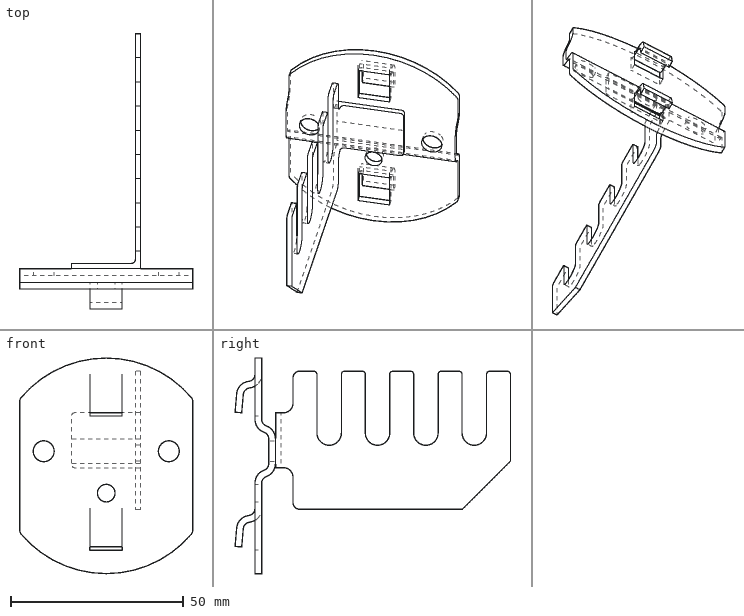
import cadquery as cq
import math

TOTAL_DEPTH = 79.9

PLATE_WIDTH = 50.2
PLATE_HEIGHT = 62.5
PLATE_THICKNESS = 2.0
PLATE_ARC_RADIUS = 32.3
PLATE_CORNER_RADIUS = 2.0
BEND_MID_RADIUS = 1.5 * PLATE_THICKNESS

BAND_CENTER_Z = 4.2
BAND_FLAT_HEIGHT = 7.2
BAND_SETBACK = 4.0
BAND_SLOPE_LENGTH = 0.2

BAND_HOLE_DIAMETER = 6.0
BAND_HOLE_SPACING = 36.3
LOWER_HOLE_DIAMETER = 5.0
LOWER_HOLE_Z = -7.9

FITTING_CENTER_X = -0.1

HOOK_WIDTH = 9.35
HOOK_TOPS_Z = (26.5, -12.4)
WINDOW_HEIGHT = 12.1
HOOK_OUT_ANGLE = 79.0
HOOK_OUT_LENGTH = 0.5
HOOK_LEG_TILT = 5.0
HOOK_LEG_LENGTH = 5.39

COMB_THICKNESS = 1.5
FLANGE_WIDTH = 20.05
FLANGE_HEIGHT = 16.0
FLANGE_CORNER_RADIUS = 1.0
INNER_BEND_RADIUS = 1.2
COMB_CENTER_Z = 7.4
COMB_HEIGHT = 40.1
COMB_START_Y = 11.0
COMB_CHAMFER = 14.0
COMB_CORNER_RADIUS = 2.0
NECK_RADIUS = 2.7
TOOTH_COUNT = 5
TOOTH_CORNER_RADIUS = 1.0
SLOT_DEPTH = 21.5

BAND_BACK_Y = BAND_SETBACK + PLATE_THICKNESS
FLANGE_BACK_Y = BAND_BACK_Y + COMB_THICKNESS
FLANGE_END_X = FITTING_CENTER_X + FLANGE_WIDTH / 2

OUT = math.radians(HOOK_OUT_ANGLE)
TILT = math.radians(HOOK_LEG_TILT)
HOOK_REACH = (
    BEND_MID_RADIUS * (1 + math.cos(TILT) - 2 * math.cos(OUT))
    + HOOK_OUT_LENGTH * math.sin(OUT)
    + HOOK_LEG_LENGTH * math.sin(TILT)
    + PLATE_THICKNESS / 2 * (math.cos(TILT) - 1)
)
COMB_END_Y = TOTAL_DEPTH - HOOK_REACH


def bent_sheet(top_z, steps, width):
    """Sheet that starts downwards in the plate at top_z and follows the steps, centred on X = 0.

    A step is ("straight", length) or ("bend", degrees); a positive bend turns towards +Y.
    """
    y = PLATE_THICKNESS / 2
    z = top_z
    heading = -math.pi / 2

    def side_point(side, center_y, center_z, angle):
        offset = side * PLATE_THICKNESS / 2
        return (center_y - offset * math.sin(angle), center_z + offset * math.cos(angle))

    def both_sides(center_y, center_z, angle):
        return [side_point(side, center_y, center_z, angle) for side in (1, -1)]

    def along_bend(turn):
        radius = math.copysign(BEND_MID_RADIUS, turn)
        return (
            y + radius * (math.sin(heading + turn) - math.sin(heading)),
            z - radius * (math.cos(heading + turn) - math.cos(heading)),
        )

    stations = [both_sides(y, z, heading)]
    middles = []
    for kind, amount in steps:
        if kind == "straight":
            y += amount * math.cos(heading)
            z += amount * math.sin(heading)
            middles.append(None)
        else:
            turn = math.radians(amount)
            middles.append(both_sides(*along_bend(turn / 2), heading + turn / 2))
            y, z = along_bend(turn)
            heading += turn
        stations.append(both_sides(y, z, heading))

    def add_edge(sketch, middle, end, side):
        if middle is None:
            return sketch.lineTo(*end[side])
        return sketch.threePointArc(middle[side], end[side])

    sketch = cq.Workplane("YZ").moveTo(*stations[0][0])
    for middle, end in zip(middles, stations[1:]):
        sketch = add_edge(sketch, middle, end, 0)
    sketch = sketch.lineTo(*stations[-1][1])
    for middle, end in zip(reversed(middles), reversed(stations[:-1])):
        sketch = add_edge(sketch, middle, end, 1)
    return sketch.close().extrude(width / 2, both=True)


def make_plate():
    bend_span = 2 * BEND_MID_RADIUS
    bend_angle = math.acos(
        (bend_span - BAND_SETBACK) / math.hypot(bend_span, BAND_SLOPE_LENGTH)
    ) - math.atan2(BAND_SLOPE_LENGTH, bend_span)
    bend_height = bend_span * math.sin(bend_angle) + BAND_SLOPE_LENGTH * math.cos(bend_angle)
    turn = math.degrees(bend_angle)
    band_half = BAND_FLAT_HEIGHT / 2 + bend_height
    steps = [
        ("straight", PLATE_HEIGHT / 2 - BAND_CENTER_Z - band_half),
        ("bend", turn),
        ("straight", BAND_SLOPE_LENGTH),
        ("bend", -turn),
        ("straight", BAND_FLAT_HEIGHT),
        ("bend", -turn),
        ("straight", BAND_SLOPE_LENGTH),
        ("bend", turn),
        ("straight", PLATE_HEIGHT / 2 + BAND_CENTER_Z - band_half),
    ]
    sheet = bent_sheet(PLATE_HEIGHT / 2, steps, PLATE_WIDTH)

    half_width = PLATE_WIDTH / 2
    half_height = PLATE_HEIGHT / 2
    arc_drop = PLATE_ARC_RADIUS - math.sqrt(PLATE_ARC_RADIUS**2 - half_width**2)
    side_z = half_height - arc_drop
    outline = (
        cq.Workplane("XZ")
        .moveTo(-half_width, -side_z)
        .lineTo(-half_width, side_z)
        .threePointArc((0, half_height), (half_width, side_z))
        .lineTo(half_width, -side_z)
        .threePointArc((0, -half_height), (-half_width, -side_z))
        .close()
        .extrude(TOTAL_DEPTH, both=True)
        .edges("|Y")
        .fillet(PLATE_CORNER_RADIUS)
    )
    return sheet.intersect(outline)


def hole_cutter(diameter, centers):
    return (
        cq.Workplane("XZ")
        .pushPoints(centers)
        .circle(diameter / 2)
        .extrude(-BAND_BACK_Y)
    )


def make_window(top_z):
    return cq.Workplane("XY").box(HOOK_WIDTH, PLATE_THICKNESS, WINDOW_HEIGHT).translate(
        (FITTING_CENTER_X, PLATE_THICKNESS / 2, top_z - WINDOW_HEIGHT / 2)
    )


def make_hook(top_z):
    steps = [
        ("bend", -HOOK_OUT_ANGLE),
        ("straight", HOOK_OUT_LENGTH),
        ("bend", HOOK_OUT_ANGLE - HOOK_LEG_TILT),
        ("straight", HOOK_LEG_LENGTH),
    ]
    return bent_sheet(top_z, steps, HOOK_WIDTH).translate((FITTING_CENTER_X, 0, 0))


def make_flange():
    return (
        cq.Workplane("XY")
        .box(FLANGE_WIDTH, COMB_THICKNESS, FLANGE_HEIGHT)
        .edges("|Y and <X")
        .fillet(FLANGE_CORNER_RADIUS)
        .translate((FITTING_CENTER_X, BAND_BACK_Y + COMB_THICKNESS / 2, COMB_CENTER_Z))
    )


def make_inner_bend():
    """Concave fillet between the flange and the comb, over the height of the flange."""
    face_x = FLANGE_END_X - COMB_THICKNESS
    bend_x = face_x - INNER_BEND_RADIUS
    bend_y = FLANGE_BACK_Y + INNER_BEND_RADIUS
    diagonal = INNER_BEND_RADIUS * math.sqrt(0.5)
    return (
        cq.Workplane("XY", origin=(0, 0, COMB_CENTER_Z - FLANGE_HEIGHT / 2))
        .moveTo(face_x, FLANGE_BACK_Y)
        .lineTo(face_x, bend_y)
        .threePointArc((bend_x + diagonal, bend_y - diagonal), (bend_x, FLANGE_BACK_Y))
        .close()
        .extrude(FLANGE_HEIGHT)
    )


def make_comb():
    top = COMB_CENTER_Z + COMB_HEIGHT / 2
    bottom = COMB_CENTER_Z - COMB_HEIGHT / 2
    neck_top = COMB_CENTER_Z + FLANGE_HEIGHT / 2
    neck_bottom = COMB_CENTER_Z - FLANGE_HEIGHT / 2
    tooth_width = (COMB_END_Y - COMB_START_Y) / (2 * TOOTH_COUNT - 1)
    slot_arc_z = top - SLOT_DEPTH + tooth_width / 2

    outline = (
        cq.Workplane("YZ")
        .moveTo(BAND_BACK_Y, neck_bottom)
        .lineTo(COMB_START_Y, neck_bottom)
        .lineTo(COMB_START_Y, bottom)
        .lineTo(COMB_END_Y - COMB_CHAMFER, bottom)
        .lineTo(COMB_END_Y, bottom + COMB_CHAMFER)
        .lineTo(COMB_END_Y, top)
    )
    for slot in reversed(range(TOOTH_COUNT - 1)):
        near_y = COMB_START_Y + (2 * slot + 1) * tooth_width
        far_y = near_y + tooth_width
        outline = (
            outline.lineTo(far_y, top)
            .lineTo(far_y, slot_arc_z)
            .threePointArc((near_y + tooth_width / 2, top - SLOT_DEPTH), (near_y, slot_arc_z))
            .lineTo(near_y, top)
        )
    comb = (
        outline.lineTo(COMB_START_Y, top)
        .lineTo(COMB_START_Y, neck_top)
        .lineTo(BAND_BACK_Y, neck_top)
        .close()
        .extrude(COMB_THICKNESS)
        .translate((FLANGE_END_X - COMB_THICKNESS, 0, 0))
    )

    corner_x = FLANGE_END_X - COMB_THICKNESS / 2

    def round_corners(solid, points, radius):
        for y, z in points:
            corner = cq.selectors.NearestToPointSelector((corner_x, y, z))
            solid = solid.edges("|X").edges(corner).fillet(radius)
        return solid

    tooth_corners = [
        (COMB_START_Y + step * tooth_width, top) for step in range(1, 2 * TOOTH_COUNT)
    ]
    end_corners = [(COMB_START_Y, top), (COMB_START_Y, bottom)]
    neck_corners = [(COMB_START_Y, neck_top), (COMB_START_Y, neck_bottom)]
    comb = round_corners(comb, tooth_corners, TOOTH_CORNER_RADIUS)
    comb = round_corners(comb, end_corners, COMB_CORNER_RADIUS)
    comb = round_corners(comb, neck_corners, NECK_RADIUS)
    return comb


result = make_plate()
for hook_top_z in HOOK_TOPS_Z:
    result = result.cut(make_window(hook_top_z)).union(make_hook(hook_top_z))

band_hole_centers = [(side * BAND_HOLE_SPACING / 2, BAND_CENTER_Z) for side in (-1, 1)]
result = result.cut(hole_cutter(BAND_HOLE_DIAMETER, band_hole_centers))
result = result.cut(hole_cutter(LOWER_HOLE_DIAMETER, [(0, LOWER_HOLE_Z)]))

for bracket_part in (make_flange(), make_inner_bend(), make_comb()):
    result = result.union(bracket_part)